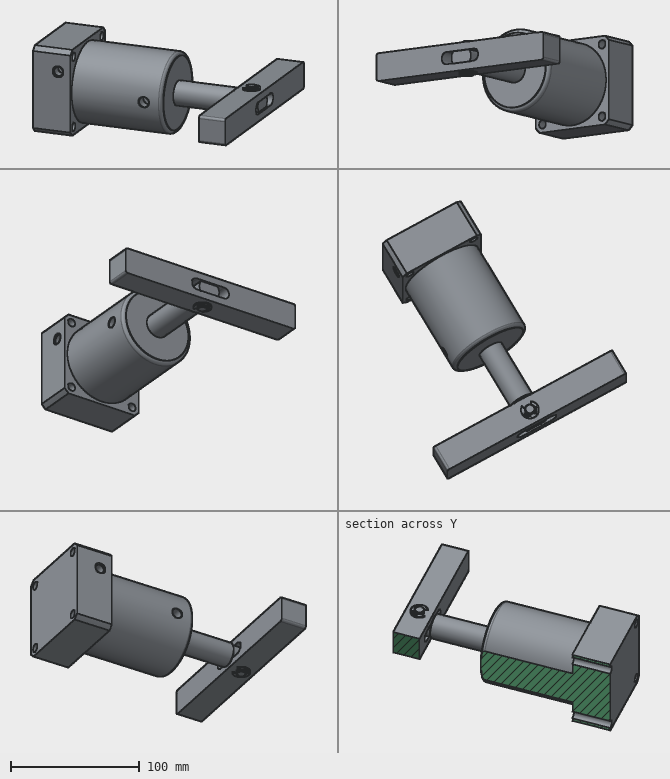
import cadquery as cq
import math


base_side = 70.0
base_length = 31.5
base_corner_dia = 94.0
mount_hole_dia = 6.7
mount_hole_pitch = 57.0
barrel_dia = 65.0
barrel_end_x = 107.5
barrel_end_fillet = 2.7
end_face_dia = 58.9
end_face_height = 0.5
base_port_x = 21.0
base_port_z = 17.0
barrel_port_x = 92.0
base_port_dia = 7.2
barrel_port_dia = 8.1
port_mouth_dia = 9.2
port_depth = 9.0

rod_dia = 20.0
rod_shoulder_x = 157.0
rod_chamfer = 0.7
tang_thickness = 9.7
tang_dia = rod_dia - 2 * rod_chamfer

total_length = 180.0
bar_side = 22.0
bar_length = 160.0
bar_edge_fillet = 2.0
bar_slot_length = 35.0
bar_center_x = total_length - bar_side / 2
tang_end_x = bar_center_x + tang_dia / 2

pin_dia = 8.0
pin_length = 27.0
pin_chamfer = 0.5
clip_thickness = 1.0
clip_dia = 14.0
groove_dia = 7.0
clip_relief_radius = 5.4
clip_relief_angles = (22, 85)
clip_mouth_inner = (-2.2, 2.9)
clip_mouth_outer = (-7.5, 4.5)
clip_bottoms = (bar_side / 2, -bar_side / 2 - clip_thickness)


def cylinder_along_x(diameter, x_start, x_end):
    return cq.Workplane("YZ").workplane(offset=x_start).circle(diameter / 2).extrude(x_end - x_start)


def port_cutter(x, z, face_y, hole_dia):
    """Blind hole with a conical mouth, running in +Y from the face at face_y."""
    plane = cq.Plane(origin=(x, face_y, z), xDir=(1, 0, 0), normal=(0, -1, 0))
    hole = cq.Workplane(plane).circle(hole_dia / 2).extrude(-port_depth)
    mouth = cq.Solid.makeCone(
        port_mouth_dia / 2,
        hole_dia / 2,
        (port_mouth_dia - hole_dia) / 2,
        cq.Vector(x, face_y, z),
        cq.Vector(0, 1, 0),
    )
    return hole.union(cq.Workplane(mouth))


def make_housing():
    base = cq.Workplane("YZ").rect(base_side, base_side).extrude(base_length)
    base = base.intersect(cylinder_along_x(base_corner_dia, 0, base_length))
    mount_holes = (
        cq.Workplane("YZ")
        .rect(mount_hole_pitch, mount_hole_pitch, forConstruction=True)
        .vertices()
        .circle(mount_hole_dia / 2)
        .extrude(base_length)
    )
    end_face_x = barrel_end_x - end_face_height
    barrel = cylinder_along_x(barrel_dia, base_length, end_face_x)
    barrel = barrel.faces(">X").edges().fillet(barrel_end_fillet)
    end_face = cylinder_along_x(end_face_dia, end_face_x, barrel_end_x)
    housing = base.cut(mount_holes).union(barrel).union(end_face)
    housing = housing.cut(port_cutter(base_port_x, base_port_z, -base_side / 2, base_port_dia))
    return housing.cut(port_cutter(barrel_port_x, 0, -barrel_dia / 2, barrel_port_dia))


def make_pin_hole():
    return cq.Workplane("XY").center(bar_center_x, 0).circle(pin_dia / 2).extrude(bar_side / 2, both=True)


def make_rod():
    shank = cylinder_along_x(rod_dia, barrel_end_x, rod_shoulder_x)
    shank = shank.faces(">X").edges().chamfer(rod_chamfer)
    tang = cylinder_along_x(tang_dia, rod_shoulder_x, tang_end_x)
    flats = cq.Workplane("XY").box(2 * total_length, rod_dia, tang_thickness)
    return shank.union(tang.intersect(flats)).cut(make_pin_hole())


def make_bar():
    bar = cq.Workplane("XY").box(bar_side, bar_length, bar_side)
    bar = bar.edges("|X").fillet(bar_edge_fillet).translate((bar_center_x, 0, 0))
    slot = (
        cq.Workplane("YZ")
        .workplane(offset=bar_center_x)
        .slot2D(bar_slot_length, tang_thickness)
        .extrude(bar_side / 2, both=True)
    )
    return bar.cut(slot).cut(make_pin_hole())


def make_pin():
    pin = cq.Workplane("XY").center(bar_center_x, 0).circle(pin_dia / 2).extrude(pin_length / 2, both=True)
    pin = pin.faces("|Z").edges().chamfer(pin_chamfer)
    for bottom_z in clip_bottoms:
        groove = (
            cq.Workplane("XY")
            .workplane(offset=bottom_z)
            .center(bar_center_x, 0)
            .circle(clip_dia / 2)
            .circle(groove_dia / 2)
            .extrude(clip_thickness)
        )
        pin = pin.cut(groove)
    return pin


def clip_relief(side):
    """Pocket between two of the clip's lugs, on the +Y (side 1) or -Y (side -1) half."""
    start, end = [side * math.radians(angle) for angle in clip_relief_angles]
    middle = (start + end) / 2
    arc_points = [
        (clip_relief_radius * math.cos(angle), clip_relief_radius * math.sin(angle))
        for angle in (start, middle, end)
    ]
    return (
        cq.Workplane("XY")
        .lineTo(*arc_points[0])
        .threePointArc(*arc_points[1:])
        .close()
        .extrude(clip_thickness)
    )


def make_clip(bottom_z):
    """E-shaped clip that grips the groove with three lugs and opens toward -X."""
    clip = cq.Workplane("XY").circle(clip_dia / 2).circle(groove_dia / 2).extrude(clip_thickness)
    inner_x, inner_y = clip_mouth_inner
    outer_x, outer_y = clip_mouth_outer
    mouth = (
        cq.Workplane("XY")
        .polyline([(inner_x, -inner_y), (inner_x, inner_y), (outer_x, outer_y), (outer_x, -outer_y)])
        .close()
        .extrude(clip_thickness)
    )
    clip = clip.cut(mouth)
    for side in (1, -1):
        clip = clip.cut(clip_relief(side))
    return clip.translate((bar_center_x, 0, bottom_z))


housing = make_housing()
rod = make_rod()
bar = make_bar()
pin = make_pin()
clips = [make_clip(bottom_z).val() for bottom_z in clip_bottoms]

result = cq.Compound.makeCompound([housing.val(), rod.val(), bar.val(), pin.val(), *clips])